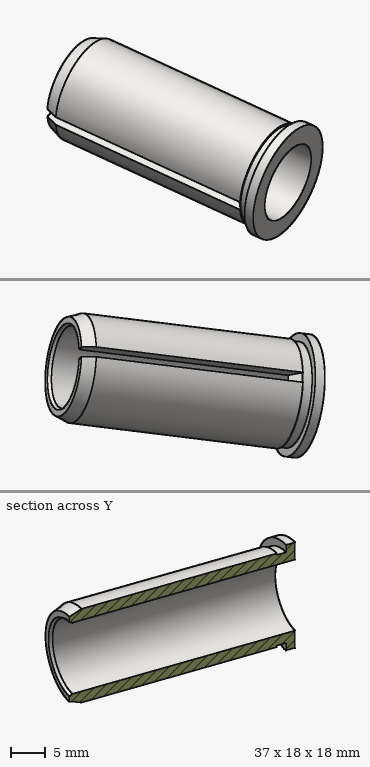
import cadquery as cq

total_length = 37.0
flange_diameter = 18.0
flange_thickness = 1.5
relief_diameter = 15.5
relief_width = 1.5
body_diameter = 16.0
bore_diameter = 12.0

tip_diameter = 14.5
taper_length = 2.0
bore_chamfer_radial = 0.3
bore_chamfer_length = 0.5

slot_width = 1.5
slot_end_run = 1.5
slot_end_radius = 7.85

flange_start = total_length - flange_thickness
relief_start = flange_start - relief_width

flange_radius = flange_diameter / 2
relief_radius = relief_diameter / 2
body_radius = body_diameter / 2
bore_radius = bore_diameter / 2
tip_radius = tip_diameter / 2


def make_sleeve():
    """Revolve the wall section about the X axis."""
    section = [
        (0, bore_radius + bore_chamfer_radial),
        (0, tip_radius),
        (taper_length, body_radius),
        (relief_start, body_radius),
        (relief_start, relief_radius),
        (flange_start, relief_radius),
        (flange_start, flange_radius),
        (total_length, flange_radius),
        (total_length, bore_radius),
        (bore_chamfer_length, bore_radius),
    ]
    return cq.Workplane("XY").polyline(section).close().revolve(360, (0, 0, 0), (1, 0, 0))


def make_slot_cutter():
    """Prism from the axis out through the -Y wall, its end sloping outward to the relief shoulder."""
    run_per_radius = slot_end_run / (slot_end_radius - bore_radius)
    end_at_axis = relief_start - run_per_radius * slot_end_radius
    profile = [
        (0, 0),
        (end_at_axis, 0),
        (relief_start, -slot_end_radius),
        (relief_start, -body_radius),
        (0, -body_radius),
    ]
    return cq.Workplane("XY").polyline(profile).close().extrude(slot_width / 2, both=True)


result = make_sleeve().cut(make_slot_cutter())